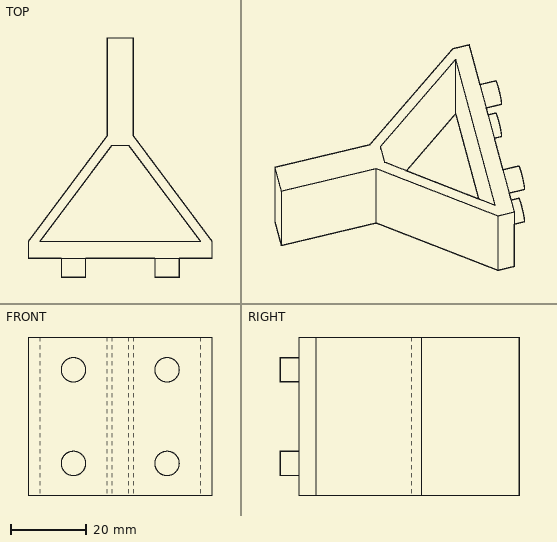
import cadquery as cq

total_depth = 63.5
width = 48.75
height = 42.0
pin_length = 5.0
pin_diameter = 6.5
pin_spacing = 24.8
plate_thickness = 4.5
stem_width = 7.0
stem_length = 26.0

opening_base_width = 42.55
opening_tip_width = 4.5
opening_tip_wall = 2.6

stem_end = total_depth - pin_length
stem_start = stem_end - stem_length
opening_tip = stem_start - opening_tip_wall


def bracket_body():
    """Plate, sloping sides and stem, extruded along Z."""
    return (
        cq.Workplane("XY")
        .moveTo(-width / 2, 0)
        .lineTo(width / 2, 0)
        .lineTo(width / 2, plate_thickness)
        .lineTo(stem_width / 2, stem_start)
        .lineTo(stem_width / 2, stem_end)
        .lineTo(-stem_width / 2, stem_end)
        .lineTo(-stem_width / 2, stem_start)
        .lineTo(-width / 2, plate_thickness)
        .close()
        .extrude(height / 2, both=True)
    )


def opening():
    """Trapezoidal opening running the full height."""
    return (
        cq.Workplane("XY")
        .moveTo(-opening_base_width / 2, plate_thickness)
        .lineTo(opening_base_width / 2, plate_thickness)
        .lineTo(opening_tip_width / 2, opening_tip)
        .lineTo(-opening_tip_width / 2, opening_tip)
        .close()
        .extrude(height / 2, both=True)
    )


def locating_pins():
    """Four round pins standing out from the plate toward -Y."""
    return (
        cq.Workplane("XZ")
        .rect(pin_spacing, pin_spacing, forConstruction=True)
        .vertices()
        .circle(pin_diameter / 2)
        .extrude(pin_length)
    )


result = bracket_body().cut(opening()).union(locating_pins())